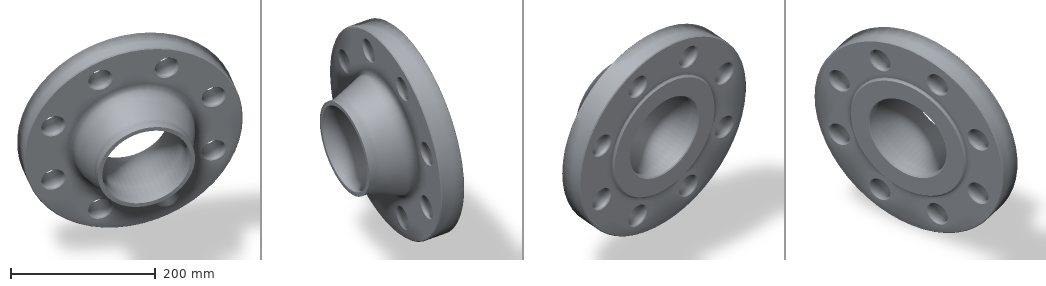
import cadquery as cq
import math


flange_diameter = 315.0
flange_thickness = 40.0
rim_chamfer = 1.5

raised_face_diameter = 188.0
raised_face_height = 3.0

overall_length = 105.0
neck_base_diameter = 180.0
pipe_diameter = 139.7
weld_end_length = 12.0
neck_fillet = 8.0

bore_diameter = 127.1
bore_chamfer = 1.5

bolt_count = 8
bolt_circle_diameter = 250.0
bolt_hole_diameter = 33.0
bolt_hole_chamfer = 1.2


def make_body():
    """Revolve the solid outline (axial position, radius) about the X axis."""
    rim_radius = flange_diameter / 2
    face_radius = raised_face_diameter / 2
    pipe_radius = pipe_diameter / 2
    outline = [
        (0, 0),
        (0, face_radius),
        (raised_face_height, face_radius + raised_face_height),
        (raised_face_height, rim_radius - rim_chamfer),
        (raised_face_height + rim_chamfer, rim_radius),
        (flange_thickness - rim_chamfer, rim_radius),
        (flange_thickness, rim_radius - rim_chamfer),
        (flange_thickness, neck_base_diameter / 2),
        (overall_length - weld_end_length, pipe_radius),
        (overall_length, pipe_radius),
        (overall_length, 0),
    ]
    return cq.Workplane("XY").polyline(outline).close().revolve(360, (0, 0, 0), (1, 0, 0))


def circular_edges_at(body, axial_position, radius):
    """Select the edges circling the X axis at the given position and radius."""
    tolerance = 0.01
    return body.edges("%CIRCLE").filter(
        lambda edge: abs(edge.Center().x - axial_position) < tolerance
        and abs(edge.radius() - radius) < tolerance
    )


def round_neck(body):
    """Blend both ends of the conical neck."""
    body = circular_edges_at(body, flange_thickness, neck_base_diameter / 2).fillet(neck_fillet)
    weld_end_start = overall_length - weld_end_length
    return circular_edges_at(body, weld_end_start, pipe_diameter / 2).fillet(neck_fillet)


def cylinder_along_x(start, end, radius):
    return cq.Workplane("YZ").workplane(offset=start).circle(radius).extrude(end - start)


def entry_chamfer(face_position, inward, radius, size):
    """45-degree cone that widens a hole mouth; inward is the X direction into the metal."""
    profile = [
        (face_position, 0),
        (face_position, radius + size),
        (face_position + inward * size, radius),
        (face_position + inward * size, 0),
    ]
    return cq.Workplane("XY").polyline(profile).close().revolve(360, (0, 0, 0), (1, 0, 0))


def make_bore():
    bore_radius = bore_diameter / 2
    bore = cylinder_along_x(0, overall_length, bore_radius)
    return bore.union(entry_chamfer(0, 1, bore_radius, bore_chamfer))


def make_bolt_hole():
    """Through hole on the X axis, chamfered on both plate faces."""
    hole_radius = bolt_hole_diameter / 2
    hole = cylinder_along_x(raised_face_height, flange_thickness, hole_radius)
    hole = hole.union(entry_chamfer(raised_face_height, 1, hole_radius, bolt_hole_chamfer))
    return hole.union(entry_chamfer(flange_thickness, -1, hole_radius, bolt_hole_chamfer))


def cut_bolt_holes(body):
    """Space the holes evenly, straddling the Y and Z axes."""
    hole = make_bolt_hole()
    pitch_angle = 2 * math.pi / bolt_count
    bolt_circle_radius = bolt_circle_diameter / 2
    for index in range(bolt_count):
        angle = (index + 0.5) * pitch_angle
        y = bolt_circle_radius * math.cos(angle)
        z = bolt_circle_radius * math.sin(angle)
        body = body.cut(hole.translate((0, y, z)))
    return body


result = cut_bolt_holes(round_neck(make_body()).cut(make_bore()))